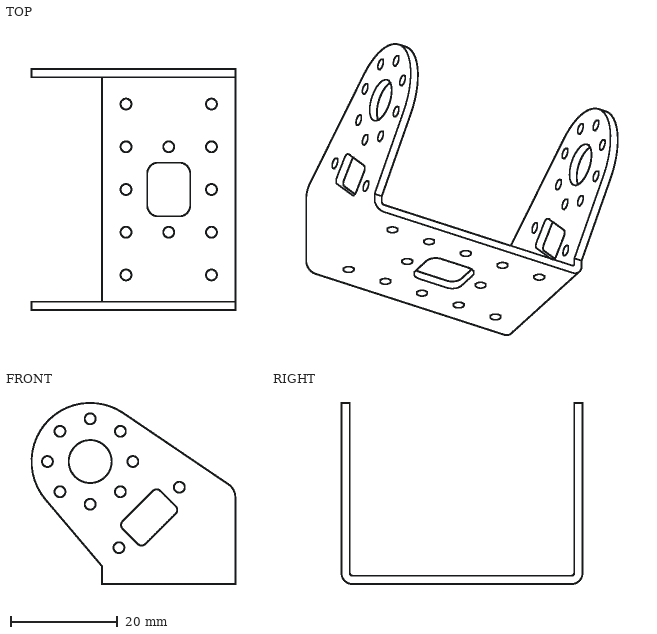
import cadquery as cq
import math

sheet = 1.6
overall_width = 45.17
hole_diameter = 2.0
inner_bend_radius = 0.5
outer_bend_radius = inner_bend_radius + sheet

base_length = 25.0
base_right = base_length / 2
base_left = -base_right
hole_pitch = 8.0
holes_per_edge_row = 5
base_window_length = 8.0
base_window_width = 10.0
base_window_corner = 2.0

head_radius = 11.0
overall_length = 38.21
overall_height = 33.97
head_x = base_right - overall_length + head_radius
head_z = overall_height - head_radius
neck_height = 3.35
shoulder_height = 17.83
shoulder_radius = 3.0
bore_diameter = 8.0
bolt_circle_radius = 8.0
bolt_count = 8

side_window_x = -3.67
side_window_z = 12.5
side_window_length = 10.0
side_window_width = 6.0
side_window_corner = 1.0
side_window_angle = 45.0
side_hole_spacing = 16.0


def head_tangent_point(x, z, side):
    """Point where a line from (x, z) touches the head; side is +1 or -1 around the head."""
    distance = math.hypot(x - head_x, z - head_z)
    direction = math.atan2(z - head_z, x - head_x)
    angle = direction + side * math.acos(head_radius / distance)
    return (head_x + head_radius * math.cos(angle), head_z + head_radius * math.sin(angle))


def make_trough(inset, bend_radius):
    """Block set in from the outside faces, with rounded lower edges along X."""
    return (
        cq.Workplane("XY", origin=(base_right - overall_length, 0, inset))
        .box(overall_length, overall_width - 2 * inset, overall_height, centered=(False, True, False))
        .edges("|X and <Z")
        .fillet(bend_radius)
    )


def make_channel():
    """U-shaped sheet section, long enough to contain the whole side outline."""
    return make_trough(0, outer_bend_radius).cut(make_trough(sheet, inner_bend_radius))


def make_side_outline():
    """Solid with the side plate outline, spanning the full width."""
    neck_tangent = head_tangent_point(base_left, neck_height, -1)
    shoulder_tangent = head_tangent_point(base_right, shoulder_height, 1)
    head_top = (head_x, head_z + head_radius)
    return (
        cq.Workplane("XZ")
        .moveTo(base_left, 0)
        .lineTo(base_right, 0)
        .lineTo(base_right, shoulder_height)
        .lineTo(*shoulder_tangent)
        .threePointArc(head_top, neck_tangent)
        .lineTo(base_left, neck_height)
        .close()
        .extrude(overall_width / 2, both=True)
        .edges(cq.selectors.NearestToPointSelector((base_right, 0, shoulder_height)))
        .fillet(shoulder_radius)
    )


def make_head_holes():
    """Bore and bolt circle through both heads."""
    head = cq.Workplane("XZ").center(head_x, head_z)
    bore = head.circle(bore_diameter / 2).extrude(overall_width, both=True)
    bolts = (
        head.polarArray(bolt_circle_radius, 0, 360, bolt_count)
        .circle(hole_diameter / 2)
        .extrude(overall_width, both=True)
    )
    return bore.union(bolts)


def make_side_windows():
    """Slanted window and its two end holes through both side plates."""
    slanted = (
        cq.Workplane("XZ")
        .center(side_window_x, side_window_z)
        .transformed(rotate=(0, 0, side_window_angle))
    )
    window = (
        slanted.rect(side_window_length, side_window_width)
        .extrude(overall_width, both=True)
        .edges("|Y")
        .fillet(side_window_corner)
    )
    holes = (
        slanted.rarray(side_hole_spacing, 1, 2, 1)
        .circle(hole_diameter / 2)
        .extrude(overall_width, both=True)
    )
    return window.union(holes)


def make_base_cutouts():
    """Central window and the hole grid through the base."""
    cutouts = (
        cq.Workplane("XY")
        .rect(base_window_length, base_window_width)
        .extrude(sheet)
        .edges("|Z")
        .fillet(base_window_corner)
    )
    edge_rows = cq.Workplane("XY").rarray(2 * hole_pitch, hole_pitch, 2, holes_per_edge_row)
    middle_row = cq.Workplane("XY").rarray(1, 2 * hole_pitch, 1, 2)
    for row in (edge_rows, middle_row):
        cutouts = cutouts.union(row.circle(hole_diameter / 2).extrude(sheet))
    return cutouts


result = (
    make_channel()
    .intersect(make_side_outline())
    .cut(make_head_holes())
    .cut(make_side_windows())
    .cut(make_base_cutouts())
)